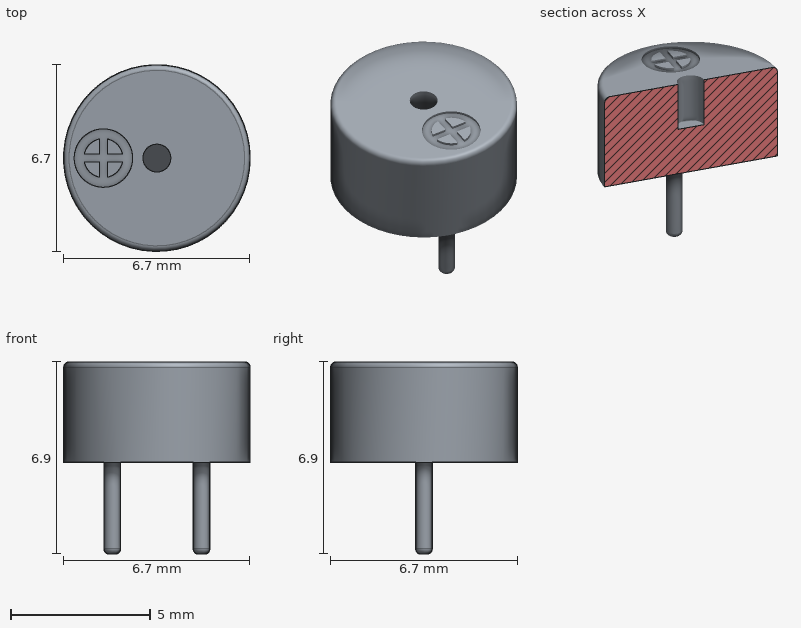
import cadquery as cq

total_height = 6.9
pin_length = 3.3
housing_height = total_height - pin_length
housing_diameter = 6.7
edge_radius = 0.2

sound_hole_diameter = 1.0
sound_hole_depth = housing_height / 2

recess_diameter = 2.1
recess_depth = 0.1
mark_x = -1.92
mark_diameter = 1.4
mark_gap = 0.3

pin_diameter = 0.6
pin_offset = 1.6
pin_tip_radius = 0.2


def make_polarity_mark():
    """Four disc sectors, parted by a cross-shaped gap, standing on the recess floor."""
    floor = cq.Workplane("XY", origin=(mark_x, 0, housing_height - recess_depth))
    disc = floor.circle(mark_diameter / 2).extrude(recess_depth)
    bar_along_x = floor.rect(mark_diameter, mark_gap).extrude(recess_depth)
    bar_along_y = floor.rect(mark_gap, mark_diameter).extrude(recess_depth)
    return disc.cut(bar_along_x).cut(bar_along_y)


def make_housing():
    """Round housing, its underside at Z = 0, with a sound hole and a polarity mark."""
    body = cq.Workplane("XY").circle(housing_diameter / 2).extrude(housing_height)
    body = body.faces(">Z").edges().fillet(edge_radius)
    top = cq.Workplane("XY", origin=(0, 0, housing_height))
    sound_hole = top.circle(sound_hole_diameter / 2).extrude(-sound_hole_depth)
    recess = top.center(mark_x, 0).circle(recess_diameter / 2).extrude(-recess_depth)
    return body.cut(sound_hole).cut(recess.cut(make_polarity_mark()))


def make_pin(x):
    """Straight pin with a rounded tip, hanging from the underside of the housing."""
    pin = cq.Workplane("XY", origin=(x, 0, 0)).circle(pin_diameter / 2).extrude(-pin_length)
    return pin.faces("<Z").edges().fillet(pin_tip_radius)


housing = make_housing()
pins = [make_pin(x) for x in (-pin_offset, pin_offset)]

result = cq.Compound.makeCompound([housing.val(), *[pin.val() for pin in pins]])